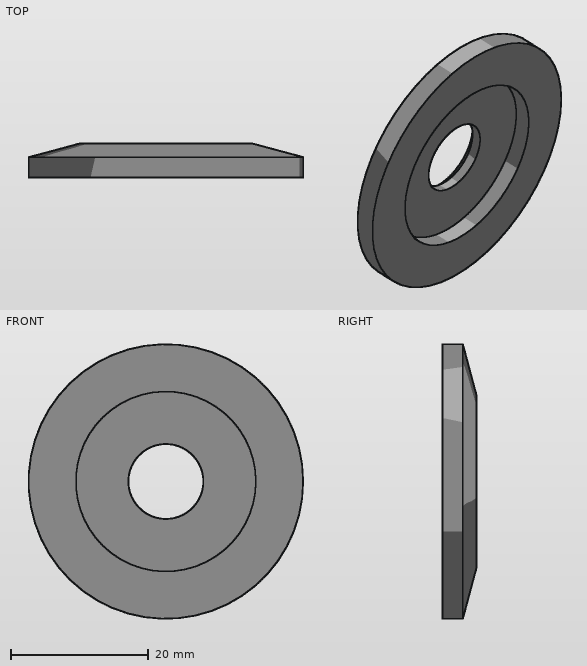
import cadquery as cq
import math

outer_diameter = 40.0
thickness = 5.0
rim_thickness = 3.0
cone_angle = 15.0
recess_diameter = 26.2
recess_depth = thickness / 2
bore_diameter = 10.9
bore_chamfer = 1.0

outer_radius = outer_diameter / 2
recess_radius = recess_diameter / 2
bore_radius = bore_diameter / 2
front_y = -thickness / 2
back_y = thickness / 2
rim_back_y = front_y + rim_thickness
recess_floor_y = front_y + recess_depth
cone_height = thickness - rim_thickness
crown_radius = outer_radius - cone_height / math.tan(math.radians(cone_angle))

half_section = (
    cq.Workplane("XY")
    .moveTo(recess_radius, front_y)
    .lineTo(outer_radius, front_y)
    .lineTo(outer_radius, rim_back_y)
    .lineTo(crown_radius, back_y)
    .lineTo(bore_radius + bore_chamfer, back_y)
    .lineTo(bore_radius, back_y - bore_chamfer)
    .lineTo(bore_radius, recess_floor_y)
    .lineTo(recess_radius, recess_floor_y)
    .close()
)

result = half_section.revolve(360, (0, 0, 0), (0, 1, 0))